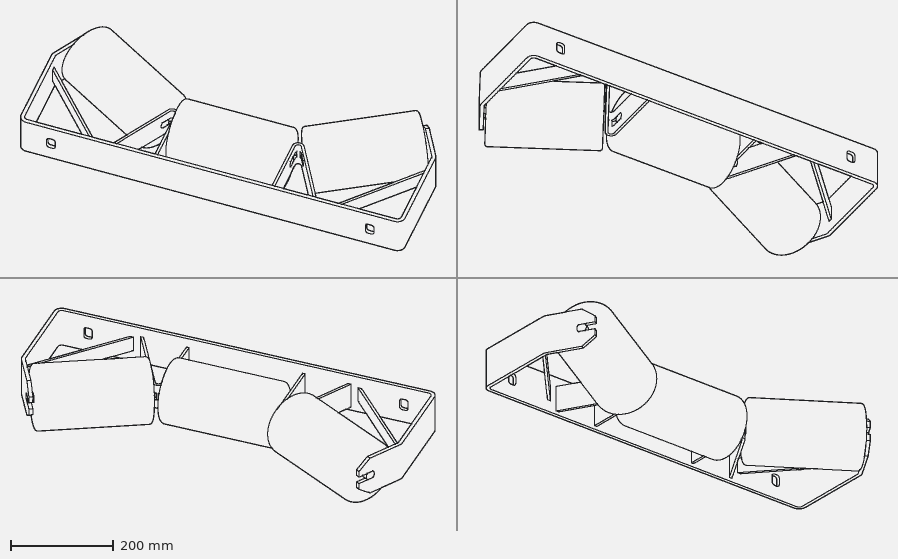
import cadquery as cq
import math

TROUGH_ANGLE = 30.0
SIN = math.sin(math.radians(TROUGH_ANGLE))
COS = math.cos(math.radians(TROUGH_ANGLE))

FRAME_LENGTH = 800.0
STRIP_DEPTH = 82.0
STRIP_THICKNESS = 8.0
BEND_RADIUS = 16.0
LEAN_START = 186.0
TIP_LENGTH = 102.0
TIP_CHAMFER_LONG = 27.0
TIP_CHAMFER_ACROSS = 20.0

HOLE_SPACING = 664.0
HOLE_WIDTH = 18.0
HOLE_DEPTH = 25.0
HOLE_CORNER = 6.0

BRACKET_THICKNESS = 6.0
BRACKET_DEPTH = 54.0
BRACKET_Z = -6.0
BRACKET_BEND_RADIUS = 12.0
BRACKET_TOP = 152.0
UPRIGHT_LEG_FACE = 119.0

STRUT_THICKNESS = 6.0
STRUT_DEPTH = 32.0
STRUT_FOOT_X = 236.0
STRUT_TOP_Y = 181.0

ROLLER_DIAMETER = 133.0
ROLLER_LENGTH = 230.0
ROLLER_EDGE_RADIUS = 6.0
AXLE_DIAMETER = 20.0
AXLE_FLAT_WIDTH = 15.0
CENTER_AXLE_Y = 122.0
WING_AXLE_ALONG_TIP = 74.0
INNER_AXLE_Z = BRACKET_Z
OUTER_AXLE_Z = 0.0
WING_OUTER_GAP = 5.0
SLOT_HEIGHT = 40.0
CUT_MARGIN = 2.0

half_length = FRAME_LENGTH / 2
base_top = STRIP_THICKNESS

tip_direction = cq.Vector(SIN, COS, 0)
wing_direction = cq.Vector(COS, -SIN, 0)

lean_center = cq.Vector(-half_length + BEND_RADIUS, LEAN_START, 0)
tip_start = lean_center - wing_direction * BEND_RADIUS

bracket_bend_center = cq.Vector(
    -UPRIGHT_LEG_FACE - BRACKET_BEND_RADIUS, BRACKET_TOP - BRACKET_BEND_RADIUS, 0
)


def both_sides(shape):
    """Join a shape on the -X side with its mirror image on the +X side."""
    return shape.union(shape.mirror("YZ"))


def bar(start, end, thickness, depth, z_middle):
    """Flat bar of the given thickness whose centre line joins two points in the XY plane."""
    along = end - start
    middle = (start + end) * 0.5
    plane = cq.Plane(origin=(middle.x, middle.y, z_middle), xDir=along.toTuple(), normal=(0, 0, 1))
    return cq.Workplane(plane).box(along.Length, thickness, depth)


def bend(center, outer_radius, thickness, start_angle, end_angle, depth, z_middle):
    """Curved strip between two angles about a centre in the XY plane."""
    def on_arc(radius, angle):
        a = math.radians(angle)
        return (center.x + radius * math.cos(a), center.y + radius * math.sin(a))

    inner_radius = outer_radius - thickness
    mid_angle = (start_angle + end_angle) / 2
    return (
        cq.Workplane("XY", origin=(0, 0, z_middle - depth / 2))
        .moveTo(*on_arc(outer_radius, start_angle))
        .threePointArc(on_arc(outer_radius, mid_angle), on_arc(outer_radius, end_angle))
        .lineTo(*on_arc(inner_radius, end_angle))
        .threePointArc(on_arc(inner_radius, mid_angle), on_arc(inner_radius, start_angle))
        .close()
        .extrude(depth)
    )


def leaning_tip():
    """Straight end of the strip with both free corners cut off."""
    plane = cq.Plane(
        origin=tip_start.toTuple(), xDir=tip_direction.toTuple(), normal=wing_direction.toTuple()
    )
    half_depth = STRIP_DEPTH / 2
    shoulder = TIP_LENGTH - TIP_CHAMFER_LONG
    half_end = half_depth - TIP_CHAMFER_ACROSS
    outline = [
        (0, -half_depth),
        (shoulder, -half_depth),
        (TIP_LENGTH, -half_end),
        (TIP_LENGTH, half_end),
        (shoulder, half_depth),
        (0, half_depth),
    ]
    return cq.Workplane(plane).polyline(outline).close().extrude(STRIP_THICKNESS)


def outer_strip():
    """Base, upright sides and leaning tips of the strip, bent from one piece."""
    mid = STRIP_THICKNESS / 2
    side_x = -half_length + mid
    corner = cq.Vector(-half_length + BEND_RADIUS, BEND_RADIUS, 0)
    base = bar(cq.Vector(corner.x, mid, 0), cq.Vector(-corner.x, mid, 0), STRIP_THICKNESS, STRIP_DEPTH, 0)
    side = bar(
        cq.Vector(side_x, corner.y, 0), cq.Vector(side_x, LEAN_START, 0), STRIP_THICKNESS, STRIP_DEPTH, 0
    )
    foot_bend = bend(corner, BEND_RADIUS, STRIP_THICKNESS, 180, 270, STRIP_DEPTH, 0)
    lean_bend = bend(lean_center, BEND_RADIUS, STRIP_THICKNESS, 180 - TROUGH_ANGLE, 180, STRIP_DEPTH, 0)
    end = side.union(foot_bend).union(lean_bend).union(leaning_tip())
    return base.union(both_sides(end))


def inner_bracket():
    """Bracket on the -X side that carries the center axle and the low end of the wing axle."""
    mid_radius = BRACKET_BEND_RADIUS - BRACKET_THICKNESS / 2
    upright_top = bracket_bend_center + cq.Vector(mid_radius, 0, 0)
    upright_foot = cq.Vector(upright_top.x, base_top, 0)
    slope_top = bracket_bend_center - wing_direction * mid_radius
    sunk_y = base_top - BRACKET_THICKNESS * SIN
    slope_foot = slope_top - tip_direction * ((slope_top.y - sunk_y) / COS)
    size = (BRACKET_THICKNESS, BRACKET_DEPTH, BRACKET_Z)
    crown = bend(
        bracket_bend_center,
        BRACKET_BEND_RADIUS,
        BRACKET_THICKNESS,
        0,
        180 - TROUGH_ANGLE,
        BRACKET_DEPTH,
        BRACKET_Z,
    )
    legs = bar(upright_foot, upright_top, *size).union(bar(slope_foot, slope_top, *size))
    return legs.union(crown)


def strut():
    """Brace on the -X side between the base and the upright side."""
    foot = cq.Vector(-STRUT_FOOT_X, base_top / 2, 0)
    top = cq.Vector(-half_length + STRIP_THICKNESS / 2, STRUT_TOP_Y, 0)
    return bar(foot, top, STRUT_THICKNESS, STRUT_DEPTH, 0)


def mounting_holes():
    return (
        cq.Workplane("XZ", origin=(0, base_top, 0))
        .pushPoints([(-HOLE_SPACING / 2, 0), (HOLE_SPACING / 2, 0)])
        .rect(HOLE_WIDTH, HOLE_DEPTH)
        .extrude(STRIP_THICKNESS)
        .edges("|Y")
        .fillet(HOLE_CORNER)
    )


wing_tip_point = tip_start + tip_direction * WING_AXLE_ALONG_TIP
slope_face_point = bracket_bend_center - wing_direction * BRACKET_BEND_RADIUS
tip_to_slope = (slope_face_point - tip_start).dot(wing_direction)
wing_axle_start = wing_tip_point + wing_direction * STRIP_THICKNESS + cq.Vector(0, 0, OUTER_AXLE_Z)
wing_axle_end = wing_tip_point + wing_direction * tip_to_slope + cq.Vector(0, 0, INNER_AXLE_Z)
wing_axis = wing_axle_end - wing_axle_start
wing_span = wing_axis.Length
wing_plane = cq.Plane(
    origin=wing_axle_start.toTuple(), xDir=tip_direction.toTuple(), normal=wing_axis.toTuple()
)

center_span = 2 * UPRIGHT_LEG_FACE
center_gap = (center_span - ROLLER_LENGTH) / 2
center_plane = cq.Plane(
    origin=(-UPRIGHT_LEG_FACE, CENTER_AXLE_Y, INNER_AXLE_Z), xDir=(0, 1, 0), normal=(1, 0, 0)
)


def flatted_axle(plane, start, end):
    """Round axle with two parallel flats between two places along its axis."""
    length = end - start
    base = cq.Workplane(plane).workplane(offset=start)
    flats = base.rect(AXLE_DIAMETER, AXLE_FLAT_WIDTH).extrude(length)
    return base.circle(AXLE_DIAMETER / 2).extrude(length).intersect(flats)


def axle_slot(plane, start, end):
    """Open slot that takes the axle between its flats and ends in the axle's rounded underside."""
    start -= CUT_MARGIN
    end += CUT_MARGIN
    opening = (
        cq.Workplane(plane)
        .workplane(offset=start)
        .center(SLOT_HEIGHT / 2, 0)
        .rect(SLOT_HEIGHT, AXLE_FLAT_WIDTH)
        .extrude(end - start)
    )
    return opening.union(flatted_axle(plane, start, end))


def axle_slots():
    tip_slot = axle_slot(wing_plane, -STRIP_THICKNESS, 0)
    slope_slot = axle_slot(wing_plane, wing_span, wing_span + BRACKET_THICKNESS)
    upright_slot = axle_slot(center_plane, -BRACKET_THICKNESS, 0)
    return [both_sides(slot) for slot in (tip_slot, slope_slot, upright_slot)]


def make_frame():
    """Welded frame: outer strip, inner brackets and struts, with holes and axle slots cut."""
    frame = outer_strip().union(both_sides(inner_bracket())).union(both_sides(strut()))
    frame = frame.cut(mounting_holes())
    for slot in axle_slots():
        frame = frame.cut(slot)
    return frame


def make_roller(plane, gap, axle_start, axle_end):
    """Drum with rounded rims and its axle; the drum begins one gap away from the plane."""
    drum = (
        cq.Workplane(plane)
        .workplane(offset=gap)
        .circle(ROLLER_DIAMETER / 2)
        .extrude(ROLLER_LENGTH)
        .faces("%PLANE")
        .edges()
        .fillet(ROLLER_EDGE_RADIUS)
    )
    return drum.union(flatted_axle(plane, axle_start, axle_end))


frame = make_frame()
center_roller = make_roller(
    center_plane, center_gap, -BRACKET_THICKNESS, center_span + BRACKET_THICKNESS
)

wing_rollers = []
for mirrored in (False, True):
    wing = make_roller(wing_plane, WING_OUTER_GAP, -STRIP_THICKNESS, wing_span + BRACKET_THICKNESS)
    wing_rollers.append(wing.mirror("YZ") if mirrored else wing)

rollers = [center_roller, *wing_rollers]
result = cq.Compound.makeCompound(
    [frame.solids().val(), *[roller.solids().val() for roller in rollers]]
)